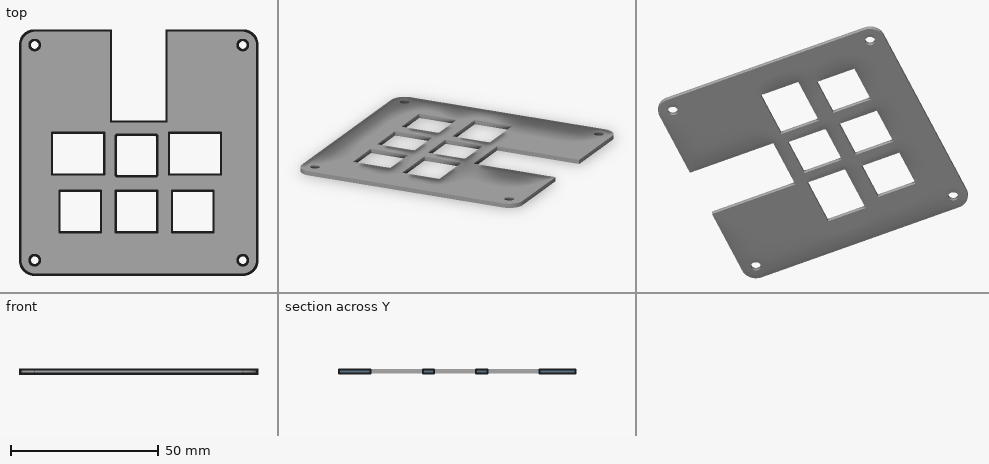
import cadquery as cq

width = 80.5
length = 82.9
thickness = 1.5
corner_radius = 5.0
screw_hole_diameter = 3.4

notch_width = 18.7
notch_depth = 30.85

key_size = 14.0
key_corner_radius = 0.5
wide_opening_width = 17.6
middle_column_x = -0.75
key_pitch = 19.1
wide_pitch = 19.8
lower_row_y = -20.0
upper_key_y = -1.0
wide_row_y = -0.3


def opening(x, y, opening_width, opening_length):
    """Solid that cuts a rectangular opening centred at x, y through the plate."""
    return (
        cq.Workplane("XY")
        .center(x, y)
        .rect(opening_width, opening_length)
        .extrude(thickness)
    )


plate = (
    cq.Workplane("XY")
    .rect(width, length)
    .extrude(thickness)
    .edges("|Z")
    .fillet(corner_radius)
)
screw_holes = (
    cq.Workplane("XY")
    .rect(width - 2 * corner_radius, length - 2 * corner_radius, forConstruction=True)
    .vertices()
    .circle(screw_hole_diameter / 2)
    .extrude(thickness)
)
plate = plate.cut(screw_holes)

notch_y = (length - notch_depth) / 2
plate = plate.cut(opening(0, notch_y, notch_width, notch_depth))

for column in (-1, 0, 1):
    key_x = middle_column_x + column * key_pitch
    plate = plate.cut(opening(key_x, lower_row_y, key_size, key_size))

upper_key = opening(middle_column_x, upper_key_y, key_size, key_size)
plate = plate.cut(upper_key.edges("|Z").fillet(key_corner_radius))

for side in (-1, 1):
    wide_x = middle_column_x + side * wide_pitch
    plate = plate.cut(opening(wide_x, wide_row_y, wide_opening_width, key_size))

result = plate